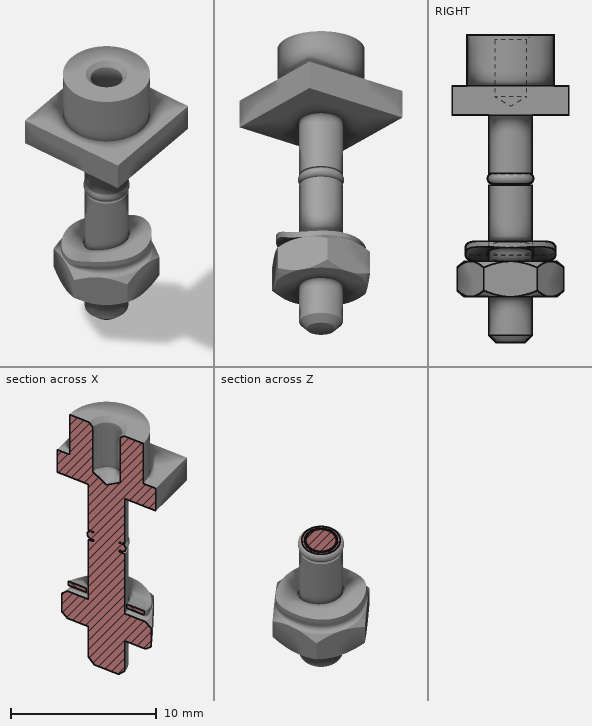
import cadquery as cq
import math

total_height = 21.1
shaft_radius = 1.5
tip_radius = 1.0
tip_height = 0.5

plate_side = 8.0
plate_thickness = 2.0
boss_radius = 3.0
boss_height = 3.5
plate_bottom = total_height - boss_height - plate_thickness

hole_radius = 1.1
hole_depth = 4.22
mouth_radius = 1.41
mouth_depth = mouth_radius - hole_radius
drill_point_angle = 118.0
drill_point_height = hole_radius / math.tan(math.radians(drill_point_angle / 2))

groove_top = 11.6
groove_height = 0.8
groove_radius = 1.05
ring_section_radius = 0.35
ring_outer_radius = 1.58
ring_center_radius = ring_outer_radius - ring_section_radius
ring_center_z = groove_top - ring_section_radius

nut_across_flats = 6.35
nut_across_corners = nut_across_flats / math.cos(math.radians(30))
nut_bottom = 3.15
nut_height = 2.43
nut_top = nut_bottom + nut_height
nut_corner_drop = 0.42

washer_outer_radius = 3.1
washer_inner_radius = 1.6
washer_thickness = 0.4
washer_rise = 1.0
wave_half_width = 2.32


def make_shaft():
    """Turned shaft with a chamfered tip and the ring groove."""
    groove_bottom = groove_top - groove_height
    return (
        cq.Workplane("XZ")
        .moveTo(0, 0)
        .lineTo(tip_radius, 0)
        .lineTo(shaft_radius, tip_height)
        .lineTo(shaft_radius, groove_bottom)
        .lineTo(groove_radius, groove_bottom)
        .lineTo(groove_radius, groove_top)
        .lineTo(shaft_radius, groove_top)
        .lineTo(shaft_radius, plate_bottom)
        .lineTo(0, plate_bottom)
        .close()
        .revolve(360, (0, 0), (0, 1))
    )


def make_head():
    """Square plate carrying the round boss."""
    return (
        cq.Workplane("XY", origin=(0, 0, plate_bottom))
        .rect(plate_side, plate_side)
        .extrude(plate_thickness)
        .faces(">Z")
        .workplane()
        .circle(boss_radius)
        .extrude(boss_height)
    )


def make_head_hole():
    """Cutter for the countersunk blind hole with its conical drill point."""
    hole_floor = total_height - hole_depth
    return (
        cq.Workplane("XZ")
        .moveTo(0, hole_floor - drill_point_height)
        .lineTo(hole_radius, hole_floor)
        .lineTo(hole_radius, total_height - mouth_depth)
        .lineTo(mouth_radius, total_height)
        .lineTo(0, total_height)
        .close()
        .revolve(360, (0, 0), (0, 1))
    )


def make_ring():
    """Round-section ring seated in the shaft groove."""
    return (
        cq.Workplane("XZ")
        .center(ring_center_radius, ring_center_z)
        .circle(ring_section_radius)
        .revolve(360, (-ring_center_radius, 0), (-ring_center_radius, 1))
    )


def make_nut():
    """Hexagon with flats facing X, its corners trimmed by a cone at each end."""
    hexagon = (
        cq.Workplane("XY", origin=(0, 0, nut_bottom))
        .transformed(rotate=(0, 0, 90))
        .polygon(6, nut_across_corners)
        .extrude(nut_height)
    )
    end_radius = nut_across_flats / 2
    corner_radius = nut_across_corners / 2
    corner_envelope = (
        cq.Workplane("XZ")
        .moveTo(0, nut_bottom)
        .lineTo(end_radius, nut_bottom)
        .lineTo(corner_radius, nut_bottom + nut_corner_drop)
        .lineTo(corner_radius, nut_top - nut_corner_drop)
        .lineTo(end_radius, nut_top)
        .lineTo(0, nut_top)
        .close()
        .revolve(360, (0, 0), (0, 1))
    )
    return hexagon.intersect(corner_envelope)


def make_stud():
    """Shaft, head, ring and nut as one solid."""
    return make_shaft().union(make_head()).cut(make_head_hole()).union(make_ring()).union(make_nut())


def make_washer():
    """S-shaped strip of two tangent arcs, trimmed to an annulus.

    The arcs meet on the axis; one bottoms out at -wave_half_width, where it touches the nut,
    and the other crests at +wave_half_width.
    """
    arc_radius = (wave_half_width**2 + (washer_rise / 2) ** 2) / washer_rise

    def arc_lift(offset):
        return arc_radius - math.sqrt(arc_radius**2 - offset**2)

    low = nut_top
    middle = low + washer_rise / 2
    high = low + washer_rise
    end_lift = arc_lift(washer_outer_radius - wave_half_width)
    low_end = (-washer_outer_radius, low + end_lift)
    low_point = (-wave_half_width, low)
    center = (0, middle)
    high_point = (wave_half_width, high)
    high_end = (washer_outer_radius, high - end_lift)

    def raised(point):
        return (point[0], point[1] + washer_thickness)

    strip = (
        cq.Workplane("XZ")
        .moveTo(*low_end)
        .threePointArc(low_point, center)
        .threePointArc(high_point, high_end)
        .lineTo(*raised(high_end))
        .threePointArc(raised(high_point), raised(center))
        .threePointArc(raised(low_point), raised(low_end))
        .close()
        .extrude(washer_outer_radius, both=True)
    )
    annulus = (
        cq.Workplane("XY", origin=(0, 0, low))
        .circle(washer_outer_radius)
        .circle(washer_inner_radius)
        .extrude(washer_rise + washer_thickness)
    )
    return strip.intersect(annulus)


stud = make_stud()
washer = make_washer()
result = cq.Compound.makeCompound([stud.val(), washer.val()])